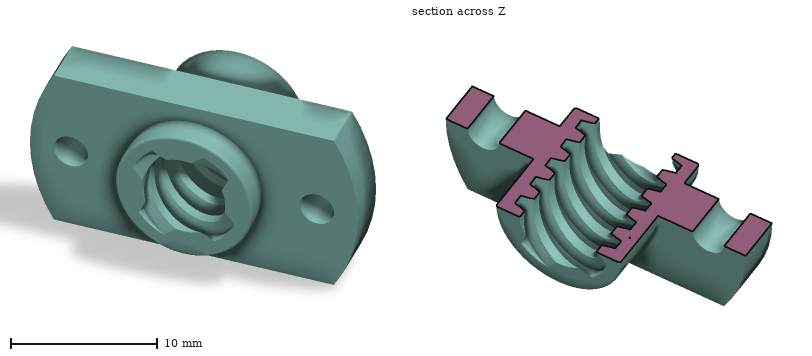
import cadquery as cq
import math

flange_diameter = 24.0
flange_height = 12.5
flange_thickness = 3.5

hub_diameter = 10.0
front_hub_length = 2.0
back_hub_length = 5.0
hub_edge_radius = 0.2

mount_hole_diameter = 2.5
mount_hole_spacing = 18.0

bore_diameter = 6.1
thread_root_diameter = 8.0
groove_inner_radius = 2.8
thread_axis_height = 0.08
thread_starts = 4
thread_pitch = 2.0
root_angle = 34.0
inner_angle = 65.0
first_groove_angle = 52.0

front_y = -front_hub_length
hub_length = front_hub_length + flange_thickness + back_hub_length
back_y = front_y + hub_length
root_radius = thread_root_diameter / 2
thread_lead = thread_starts * thread_pitch


def front_plane(y):
    """XZ plane at the given Y; extruding a positive distance runs toward -Y."""
    return cq.Workplane("XZ", origin=(0, y, 0))


def polar(radius, angle):
    """Point at a radius and an angle in degrees."""
    return (
        radius * math.cos(math.radians(angle)),
        radius * math.sin(math.radians(angle)),
    )


def make_flange():
    disc = front_plane(flange_thickness).circle(flange_diameter / 2).extrude(flange_thickness)
    flats = front_plane(flange_thickness).rect(flange_diameter, flange_height).extrude(flange_thickness)
    return disc.intersect(flats)


def make_hub():
    hub = front_plane(back_y).circle(hub_diameter / 2).extrude(hub_length)
    return hub.faces("<Y or >Y").edges().fillet(hub_edge_radius)


def make_mount_holes():
    return (
        front_plane(flange_thickness)
        .pushPoints([(-mount_hole_spacing / 2, 0), (mount_hole_spacing / 2, 0)])
        .circle(mount_hole_diameter / 2)
        .extrude(flange_thickness)
    )


def make_bore():
    return front_plane(back_y).center(0, thread_axis_height).circle(bore_diameter / 2).extrude(hub_length)


def make_groove(front_angle):
    """Helical groove: its cross-section twisted along the thread axis, reaching front_angle at the front."""
    twist = 360 * hub_length / thread_lead
    middle = front_angle - twist
    inner_start = polar(groove_inner_radius, middle - inner_angle / 2)
    inner_end = polar(groove_inner_radius, middle + inner_angle / 2)
    root_start = polar(root_radius, middle - root_angle / 2)
    root_end = polar(root_radius, middle + root_angle / 2)
    section = (
        front_plane(back_y)
        .moveTo(*inner_start)
        .lineTo(*root_start)
        .threePointArc(polar(root_radius, middle), root_end)
        .lineTo(*inner_end)
        .close()
    )
    return section.twistExtrude(hub_length, twist).translate((0, 0, thread_axis_height))


result = make_flange().union(make_hub()).cut(make_mount_holes()).cut(make_bore())
for start in range(thread_starts):
    result = result.cut(make_groove(first_groove_angle + start * 360 / thread_starts))